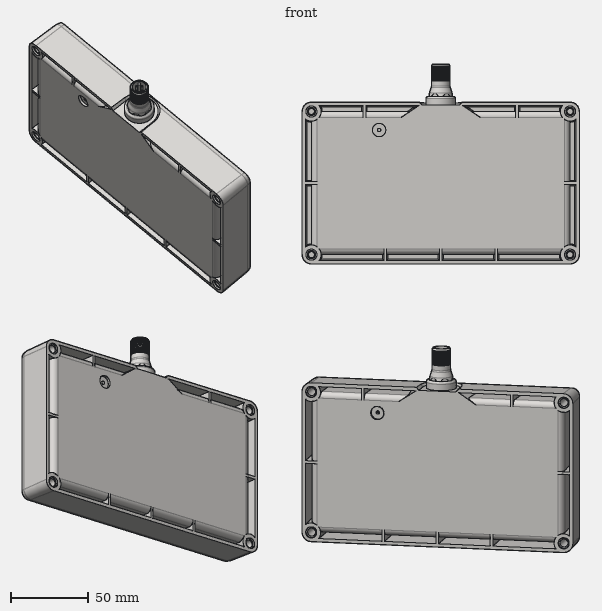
import cadquery as cq
import math

width = 180.1
depth = 25.8
height = 105.2
corner_radius = 6.3
draft_angle = 1.4
lip_depth = 2.9
lip_inset = 0.5

wall = 2.3
slot_width = 3.8
round_radius = 3.8
pocket_width = slot_width + round_radius
pocket_depth = 20.7
pocket_taper = 2.5
rib_width = 1.8
lower_rib_spacing = 36.0
upper_rib_x = 49.5
bevel_start_x = 14.2
bevel_end_x = 25.5

boss_inset = 6.1
boss_radius = 6.3
boss_base_radius = 7.0
counterbore_radius = 3.6
counterbore_depth = 1.5
screw_mouth_radius = 2.7
screw_floor_radius = 2.0
screw_depth = 16.2

vent_x = -40.0
vent_z = 87.0
vent_radius = 4.3
vent_depth = 1.8
vent_hole_radius = 1.0
vent_hole_depth = 3.6

connector_y = 11.9
seat_depth = 2.0
seat_radius = 12.2
seat_mouth_radius = 13.9
seat_z = height - seat_depth

total_height = 129.9
flange_radius = 9.7
flange_height = 5.5
flange_round = 1.5
collar_radius = 8.0
collar_height = 2.3
flat_count = 6
across_flats = 15.0
flare_radius = 7.4
flare_top_radius = 6.3
flare_height = 3.5
blend_height = 1.0
barrel_radius = 6.1
barrel_height = 3.2
thread_root_radius = 5.5
thread_tip_radius = 5.4
thread_pitch = 1.0
thread_turns = 9

bore_radius = 4.5
bore_depth = 9.0
pin_count = 4
pin_radius = 0.5
pin_circle_radius = 2.5
pin_length = 7.2
key_width = 1.6
key_inner_radius = 2.9
key_outer_radius = 5.2
key_angle = 135

cut_margin = 1.8


def open_face():
    """Workplane on the open face; its local coordinates are (Z, X) and it extrudes toward +Y."""
    return cq.Workplane("ZX")


def cone_into_face(mouth_radius, floor_radius, length, x, z):
    """Round cutter that starts on the open face and runs toward +Y."""
    return cq.Workplane(
        cq.Solid.makeCone(mouth_radius, floor_radius, length, cq.Vector(x, 0, z), cq.Vector(0, 1, 0))
    )


def cylinder_into_face(radius, length, x, z):
    return cq.Workplane(cq.Solid.makeCylinder(radius, length, cq.Vector(x, 0, z), cq.Vector(0, 1, 0)))


def make_housing():
    """Drafted box with round corners and a steeper lip along the back edge."""
    lip_angle = math.degrees(math.atan(lip_inset / lip_depth)) + draft_angle
    lip_y = depth - lip_depth
    shrink = lip_y * math.tan(math.radians(draft_angle))

    def slab(start_y, inset, length, angle):
        return (
            cq.Workplane("ZX", origin=(0, start_y, height / 2))
            .sketch()
            .rect(height - 2 * inset, width - 2 * inset)
            .vertices()
            .fillet(corner_radius - inset)
            .finalize()
            .extrude(length, taper=angle)
        )

    return slab(0, 0, lip_y, draft_angle).union(slab(lip_y, shrink, lip_depth, lip_angle))


def pocket_bar(length):
    """Pocket section along X: outer edge at Z = 0, slot, then a rounded inner rim toward -Z."""
    return (
        cq.Workplane("YZ", origin=(-length / 2, 0, 0))
        .lineTo(0, -pocket_width)
        .radiusArc((round_radius, -slot_width), round_radius)
        .lineTo(pocket_depth, -slot_width)
        .lineTo(pocket_depth, 0)
        .close()
        .extrude(length)
    )


def pocket_row(length, outlines):
    """Pockets along one straight side; outlines are (Z, X) points with Z = 0 at the outer edge."""
    openings = cq.Workplane()
    for outline in outlines:
        openings = openings.union(
            open_face().polyline(outline).close().extrude(pocket_depth, taper=pocket_taper)
        )
    return pocket_bar(length).intersect(openings)


def box_outlines(side_length, rib_places):
    """Outlines of the openings between evenly thick ribs along one side."""
    half = side_length / 2
    starts = [-half] + [place + rib_width / 2 for place in rib_places]
    ends = [place - rib_width / 2 for place in rib_places] + [half]
    inner = -pocket_width - cut_margin
    return [[(0, a), (0, b), (inner, b), (inner, a)] for a, b in zip(starts, ends)]


def beveled_outline(side):
    """Opening beside the connector whose inner end slants away from it."""
    outer_end = upper_rib_x - rib_width / 2
    slope = (bevel_end_x - bevel_start_x) / pocket_width
    inner_width = pocket_width + cut_margin
    inner_x = bevel_start_x + slope * inner_width
    points = [(0, bevel_start_x), (0, outer_end), (-inner_width, outer_end), (-inner_width, inner_x)]
    return [(z, side * x) for z, x in points]


def make_pockets():
    long_side = width - 2 * boss_inset
    short_side = height - 2 * boss_inset
    mid_z = height / 2

    lower_ribs = [-lower_rib_spacing, 0, lower_rib_spacing]
    lower = (
        pocket_row(long_side, box_outlines(long_side, lower_ribs))
        .rotate((0, 0, 0), (0, 1, 0), 180)
        .translate((0, 0, wall))
    )

    outer_openings = box_outlines(long_side, [-upper_rib_x, upper_rib_x])
    upper_outlines = [outer_openings[0], beveled_outline(-1), beveled_outline(1), outer_openings[-1]]
    upper = pocket_row(long_side, upper_outlines).translate((0, 0, height - wall))

    pockets = lower.union(upper)
    for side in (-1, 1):
        upright = (
            pocket_row(short_side, box_outlines(short_side, [0]))
            .rotate((0, 0, 0), (0, 1, 0), side * 90)
            .translate((side * (width / 2 - wall), 0, mid_z))
        )
        pockets = pockets.union(upright)

    for x, z in boss_centers():
        pockets = pockets.cut(cone_into_face(boss_radius, boss_base_radius, pocket_depth, x, z))
    return pockets


def boss_centers():
    x = width / 2 - boss_inset
    return [(sx * x, z) for sx in (-1, 1) for z in (boss_inset, height - boss_inset)]


def make_screw_holes():
    holes = cq.Workplane()
    for x, z in boss_centers():
        holes = holes.union(cylinder_into_face(counterbore_radius, counterbore_depth, x, z))
        holes = holes.union(cone_into_face(screw_mouth_radius, screw_floor_radius, screw_depth, x, z))
    return holes


def make_vent():
    recess = cylinder_into_face(vent_radius, vent_depth, vent_x, vent_z)
    return recess.union(cylinder_into_face(vent_hole_radius, vent_depth + vent_hole_depth, vent_x, vent_z))


def make_seat():
    """Arch-shaped sink with sloping walls, open toward the open face."""
    slope = (seat_mouth_radius - seat_radius) / seat_depth
    cut_height = seat_depth + cut_margin
    top_radius = seat_radius + slope * cut_height
    arch = cq.Workplane(
        cq.Solid.makeCone(seat_radius, top_radius, cut_height, cq.Vector(0, connector_y, seat_z))
    )
    channel = (
        cq.Workplane("XZ", origin=(0, connector_y, seat_z))
        .polyline([
            (-seat_radius, 0),
            (seat_radius, 0),
            (top_radius, cut_height),
            (-top_radius, cut_height),
        ])
        .close()
        .extrude(connector_y + cut_margin)
    )
    return arch.union(channel)


def make_connector():
    """Turned connector body with ring threads, wrench flats, a pin socket and a key."""
    flange_top = seat_z + flange_height
    collar_top = flange_top + collar_height
    flare_top = collar_top + flare_height
    blend_top = flare_top + blend_height
    thread_start = blend_top + barrel_height
    socket_floor = total_height - bore_depth

    profile = (
        cq.Workplane("XZ")
        .moveTo(0, seat_z - cut_margin)
        .lineTo(flange_radius, seat_z - cut_margin)
        .lineTo(flange_radius, flange_top - flange_round)
        .radiusArc((flange_radius - flange_round, flange_top), -flange_round)
        .lineTo(collar_radius, flange_top)
        .lineTo(flare_radius, collar_top)
        .lineTo(flare_top_radius, flare_top)
        .tangentArcPoint((barrel_radius, blend_top), relative=False)
        .lineTo(barrel_radius, thread_start)
    )
    for turn in range(thread_turns):
        turn_z = thread_start + turn * thread_pitch
        profile = profile.lineTo(thread_root_radius, turn_z + thread_pitch / 2)
        profile = profile.lineTo(barrel_radius, turn_z + thread_pitch)
    body = (
        profile.lineTo(thread_tip_radius, total_height)
        .lineTo(bore_radius, total_height)
        .lineTo(bore_radius, socket_floor)
        .lineTo(0, socket_floor)
        .close()
        .revolve(360, (0, 0, 0), (0, 1, 0))
    )

    outside_flats = (
        cq.Workplane("XY", origin=(0, 0, flange_top))
        .circle(flange_radius)
        .polygon(flat_count, across_flats, circumscribed=True)
        .extrude(collar_height)
    )
    body = body.cut(outside_flats)

    pins = (
        cq.Workplane("XY", origin=(0, 0, socket_floor))
        .polarArray(pin_circle_radius, 0, 360, pin_count)
        .circle(pin_radius)
        .extrude(pin_length)
    )
    key = (
        cq.Workplane("XY", origin=(0, 0, socket_floor))
        .center((key_inner_radius + key_outer_radius) / 2, 0)
        .rect(key_outer_radius - key_inner_radius, key_width)
        .extrude(pin_length)
        .rotate((0, 0, 0), (0, 0, 1), key_angle)
    )
    return body.union(pins).union(key).translate((0, connector_y, 0))


housing = make_housing()
for cutter in (make_pockets(), make_screw_holes(), make_vent(), make_seat()):
    housing = housing.cut(cutter)
result = housing.union(make_connector())